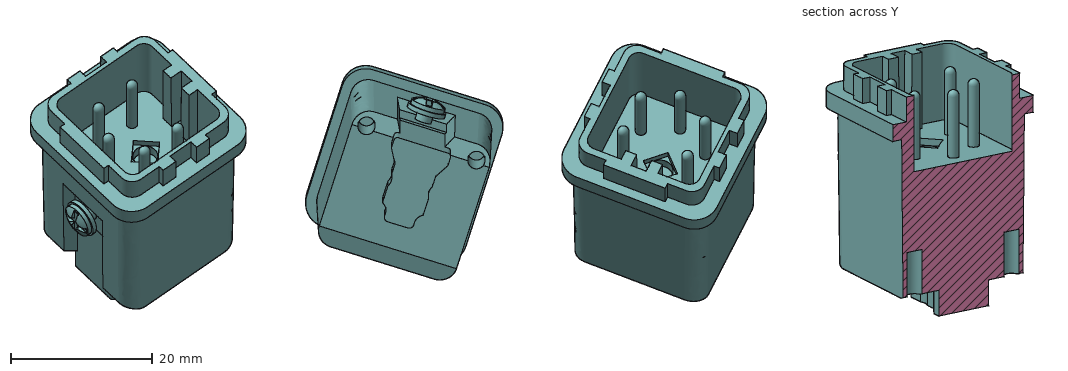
import cadquery as cq
import math

TOTAL_HEIGHT = 33.9
BODY_BOTTOM = 3.73
FLANGE_BOTTOM = 27.6
FLANGE_TOP = 30.17

FLANGE_SIZE = 23.7
FLANGE_RADIUS = 3.5
BODY_TOP_SIZE = 20.8
BODY_BOTTOM_SIZE = 20.4
BODY_RADIUS = 2.55
BEVEL_HEIGHT = 0.85
BEVEL_DEPTH = BODY_RADIUS

SHROUD_SIZE = 19.25
SHROUD_RADIUS = 1.95
LUG_SPAN = 20.95
FRONT_LUG_WIDTH = 9.55
SIDE_LUG_INNER = 1.93
SIDE_LUG_OUTER = 4.3
SIDE_RECESS_SPAN = 18.45

CAVITY_SIZE = 17.22
CAVITY_RADIUS = 1.55
CAVITY_FLOOR = 22.48
GROOVE_TOP_HALF = 1.15
GROOVE_FLOOR_HALF = 1.0
KEY_OUTER = 2.85
KEY_FACE_Y = 7.05
GROOVE_END_Y = 9.0

PIN_RADIUS = 0.8
PIN_X = 5.0
PIN_Y = 3.1
FRONT_PIN_Y = -5.53
PIN_TOP = 32.45
SOCKET_Y = 1.32
SOCKET_SIDE = 3.73
SOCKET_DEPTH = 1.02
SOCKET_HOLE_RADIUS = 1.75
SOCKET_HOLE_DEPTH = 2.7

CHANNEL_FLOOR_Y = -8.5
CHANNEL_OUTER_HALF = 4.25
CHANNEL_FLOOR_HALF = 3.32
CHANNEL_TOP = 20.68
CHANNEL_FLOOR_TOP = 20.2
SEAT_BOTTOM = 14.0
SEAT_HEIGHT = 0.3
TAIL_TOP = 5.1
TAIL_CENTER_X = 0.15
TAIL_HALF_WIDTH = 4.2
TAIL_WAIST_HALF = 3.02
TAIL_REAR_HALF = 2.17
TAIL_REAR_Y = 3.5
TAIL_FRONT_RADIUS = 0.5
TAIL_REAR_RADIUS = 0.68
SHOULDER_END_Y = -6.8
WAIST_START_Y = -4.75
SIDE_GROOVE_START_Y = -3.22
SIDE_GROOVE_END_Y = -1.45
SIDE_GROOVE_DEPTH = 0.25
WAIST_END_Y = 1.1
REAR_HOLLOW_X = 2.35
REAR_HOLLOW_Y = 1.75

WIRE_HOLE_X = 8.17
WIRE_HOLE_Y = -8.07
WIRE_HOLE_RADIUS = 1.22
WIRE_HOLE_DEPTH = 6.78

SCREW_Z = 17.12
WASHER_RADIUS = 2.78
WASHER_FACE_Y = -10.78
WASHER_THICKNESS = 0.65
SHANK_RADIUS = 1.2
HEAD_RADIUS = 2.47
HEAD_SHOULDER_Y = -11.42
HEAD_TOP_Y = -12.17
DRIVE_FLOOR_Y = -11.5
DRIVE_WIDTH = 0.88
DRIVE_LENGTH = 4.47
DRIVE_CONE_RADIUS = 1.1


def box(x0, x1, y0, y1, z0, z1):
    block = cq.Workplane("XY").box(x1 - x0, y1 - y0, z1 - z0, centered=False)
    return block.translate((x0, y0, z0))


def rounded_square(size, radius):
    return cq.Sketch().rect(size, size).vertices().fillet(radius)


def rounded_block(size, radius, bottom, top):
    base = cq.Workplane("XY", origin=(0, 0, bottom))
    return base.placeSketch(rounded_square(size, radius)).extrude(top - bottom)


def make_body():
    body = (
        cq.Workplane("XY")
        .placeSketch(
            rounded_square(BODY_BOTTOM_SIZE, BODY_RADIUS).moved(cq.Location((0, 0, BODY_BOTTOM))),
            rounded_square(BODY_TOP_SIZE, BODY_RADIUS).moved(cq.Location((0, 0, FLANGE_BOTTOM))),
        )
        .loft(ruled=True)
    )
    half = BODY_BOTTOM_SIZE / 2
    bevel = (
        cq.Workplane("YZ")
        .moveTo(-half + BEVEL_DEPTH, BODY_BOTTOM)
        .lineTo(-half - BEVEL_DEPTH, BODY_BOTTOM)
        .lineTo(-half - BEVEL_DEPTH, BODY_BOTTOM + 2 * BEVEL_HEIGHT)
        .close()
        .extrude(BODY_BOTTOM_SIZE, both=True)
    )
    return body.cut(bevel).cut(bevel.mirror("XZ"))


def make_shroud():
    shroud = rounded_block(SHROUD_SIZE, SHROUD_RADIUS, FLANGE_TOP, TOTAL_HEIGHT)
    half_span = LUG_SPAN / 2
    half_width = FRONT_LUG_WIDTH / 2
    shroud = shroud.union(box(-half_width, half_width, -half_span, half_span, FLANGE_TOP, TOTAL_HEIGHT))
    side_lugs = box(-half_span, half_span, -SIDE_LUG_OUTER, SIDE_LUG_OUTER, FLANGE_TOP, TOTAL_HEIGHT)
    shroud = shroud.union(side_lugs)
    for side in (-1, 1):
        x_limits = sorted((side * SIDE_RECESS_SPAN / 2, side * half_span))
        shroud = shroud.cut(box(*x_limits, -SIDE_LUG_INNER, SIDE_LUG_INNER, FLANGE_TOP, TOTAL_HEIGHT))
    return shroud


def make_cavity():
    cavity = rounded_block(CAVITY_SIZE, CAVITY_RADIUS, CAVITY_FLOOR, TOTAL_HEIGHT)
    keys = box(-KEY_OUTER, KEY_OUTER, KEY_FACE_Y, CAVITY_SIZE / 2, CAVITY_FLOOR, TOTAL_HEIGHT)
    groove = (
        cq.Workplane("XZ", origin=(0, GROOVE_END_Y, 0))
        .moveTo(-GROOVE_FLOOR_HALF, CAVITY_FLOOR)
        .lineTo(GROOVE_FLOOR_HALF, CAVITY_FLOOR)
        .lineTo(GROOVE_TOP_HALF, TOTAL_HEIGHT)
        .lineTo(-GROOVE_TOP_HALF, TOTAL_HEIGHT)
        .close()
        .extrude(GROOVE_END_Y - KEY_FACE_Y)
    )
    return cavity.cut(keys).union(groove)


def make_socket():
    square = (
        cq.Workplane("XY", origin=(0, SOCKET_Y, CAVITY_FLOOR))
        .transformed(rotate=(0, 0, 45))
        .rect(SOCKET_SIDE, SOCKET_SIDE)
        .extrude(-SOCKET_DEPTH)
    )
    hole = (
        cq.Workplane("XY", origin=(0, SOCKET_Y, CAVITY_FLOOR))
        .circle(SOCKET_HOLE_RADIUS)
        .extrude(-SOCKET_HOLE_DEPTH)
    )
    return square.union(hole)


def make_pins():
    pin_places = [(x, y) for x in (-PIN_X, PIN_X) for y in (-PIN_Y, PIN_Y)] + [(0, FRONT_PIN_Y)]
    dome_start = PIN_TOP - PIN_RADIUS
    slant = PIN_RADIUS * math.sqrt(0.5)
    pin = (
        cq.Workplane("XZ")
        .moveTo(0, CAVITY_FLOOR)
        .lineTo(PIN_RADIUS, CAVITY_FLOOR)
        .lineTo(PIN_RADIUS, dome_start)
        .threePointArc((slant, dome_start + slant), (0, PIN_TOP))
        .close()
        .revolve(360, (0, 0, 0), (0, 1, 0))
        .val()
    )
    return cq.Workplane("XY").pushPoints(pin_places).eachpoint(lambda place: pin.moved(place))


def make_channel():
    """Channel with sloping side and top walls, open towards the bottom."""
    mouth_y = -BODY_BOTTOM_SIZE / 2
    depth = CHANNEL_FLOOR_Y - mouth_y
    side_slope = (CHANNEL_OUTER_HALF - CHANNEL_FLOOR_HALF) / depth
    top_slope = (CHANNEL_TOP - CHANNEL_FLOOR_TOP) / depth

    def outline(y):
        reach = CHANNEL_FLOOR_Y - y
        half = CHANNEL_FLOOR_HALF + side_slope * reach
        top = CHANNEL_FLOOR_TOP + top_slope * reach
        corners = [(-half, 0), (half, 0), (half, top), (-half, top)]
        return cq.Wire.makePolygon([cq.Vector(x, y, z) for x, z in corners], close=True)

    channel = cq.Solid.makeLoft([outline(CHANNEL_FLOOR_Y), outline(2 * mouth_y - CHANNEL_FLOOR_Y)], True)
    return cq.Workplane(channel)


def make_seat():
    """Raised pad under the screw, running into the channel walls."""
    return box(
        -CHANNEL_OUTER_HALF, CHANNEL_OUTER_HALF,
        CHANNEL_FLOOR_Y - SEAT_HEIGHT, CHANNEL_FLOOR_Y,
        SEAT_BOTTOM, CHANNEL_TOP,
    )


def make_tail():
    """Terminal block under the body; both sides are grooved alike."""
    side = (
        cq.Workplane("XY")
        .moveTo(0, CHANNEL_FLOOR_Y)
        .lineTo(TAIL_HALF_WIDTH - TAIL_FRONT_RADIUS, CHANNEL_FLOOR_Y)
        .radiusArc((TAIL_HALF_WIDTH, CHANNEL_FLOOR_Y + TAIL_FRONT_RADIUS), -TAIL_FRONT_RADIUS)
        .lineTo(TAIL_HALF_WIDTH, SHOULDER_END_Y)
        .lineTo(TAIL_WAIST_HALF, WAIST_START_Y)
        .lineTo(TAIL_WAIST_HALF, SIDE_GROOVE_START_Y)
        .sagittaArc((TAIL_WAIST_HALF, SIDE_GROOVE_END_Y), SIDE_GROOVE_DEPTH)
        .lineTo(TAIL_WAIST_HALF, WAIST_END_Y)
        .threePointArc((REAR_HOLLOW_X, REAR_HOLLOW_Y), (TAIL_REAR_HALF, TAIL_REAR_Y - TAIL_REAR_RADIUS))
        .radiusArc((TAIL_REAR_HALF - TAIL_REAR_RADIUS, TAIL_REAR_Y), -TAIL_REAR_RADIUS)
        .lineTo(0, TAIL_REAR_Y)
        .close()
        .extrude(TAIL_TOP)
    )
    return side.union(side.mirror("YZ")).translate((TAIL_CENTER_X, 0, 0))


def make_wire_holes():
    places = [(-WIRE_HOLE_X, WIRE_HOLE_Y), (WIRE_HOLE_X, WIRE_HOLE_Y)]
    return (
        cq.Workplane("XY", origin=(0, 0, BODY_BOTTOM))
        .pushPoints(places)
        .circle(WIRE_HOLE_RADIUS)
        .extrude(WIRE_HOLE_DEPTH)
    )


def make_screw():
    """Screw built along +Z from the channel floor, then turned to point along -Y."""
    washer_face = CHANNEL_FLOOR_Y - WASHER_FACE_Y
    shoulder = CHANNEL_FLOOR_Y - HEAD_SHOULDER_Y
    top = CHANNEL_FLOOR_Y - HEAD_TOP_Y
    dome_rise = top - shoulder
    sphere_radius = (HEAD_RADIUS**2 + dome_rise**2) / (2 * dome_rise)
    screw = (
        cq.Workplane("XZ")
        .lineTo(SHANK_RADIUS, 0)
        .lineTo(SHANK_RADIUS, washer_face - WASHER_THICKNESS)
        .lineTo(WASHER_RADIUS, washer_face - WASHER_THICKNESS)
        .lineTo(WASHER_RADIUS, washer_face)
        .lineTo(HEAD_RADIUS, washer_face)
        .lineTo(HEAD_RADIUS, shoulder)
        .radiusArc((0, top), -sphere_radius)
        .close()
        .revolve(360, (0, 0, 0), (0, 1, 0))
    )
    drive_floor = CHANNEL_FLOOR_Y - DRIVE_FLOOR_Y
    drive_depth = top - drive_floor
    drive_plane = cq.Workplane("XY", origin=(0, 0, drive_floor))
    upright_slot = drive_plane.rect(DRIVE_WIDTH, DRIVE_LENGTH).extrude(drive_depth)
    level_slot = drive_plane.rect(DRIVE_LENGTH, DRIVE_WIDTH).extrude(drive_depth)
    cone_tip_radius = DRIVE_WIDTH * math.sqrt(0.5)
    cone = cq.Solid.makeCone(cone_tip_radius, DRIVE_CONE_RADIUS, drive_depth, cq.Vector(0, 0, drive_floor))
    screw = screw.cut(upright_slot).cut(level_slot).cut(cq.Workplane(cone))
    return screw.rotate((0, 0, 0), (1, 0, 0), 90).translate((0, CHANNEL_FLOOR_Y, SCREW_Z))


result = (
    make_body()
    .union(rounded_block(FLANGE_SIZE, FLANGE_RADIUS, FLANGE_BOTTOM, FLANGE_TOP))
    .union(make_shroud())
    .cut(make_cavity())
    .cut(make_socket())
    .union(make_pins())
    .cut(make_channel())
    .union(make_seat())
    .cut(make_wire_holes())
    .union(make_tail())
    .union(make_screw())
)